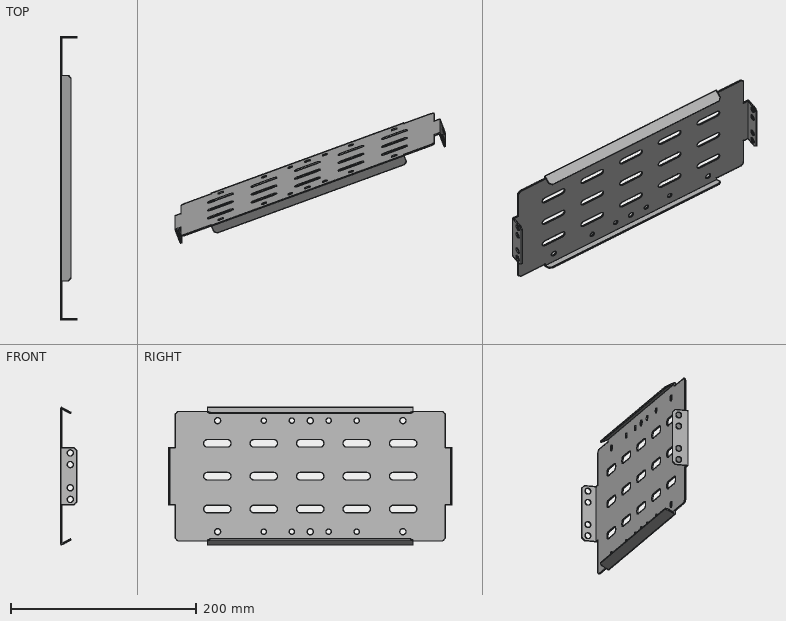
import cadquery as cq
import math

length = 305.5
height = 148.8
depth = 17.5

thickness = 1.5
corner_chamfer = 3.0

plate_length = 291.5
plate_height = 140.0

lip_width = 221.8
lip_depth = 11.3
lip_bend_angle = 118.0

tab_width = 61.7
tab_bend_angle = 90.0
tab_hole_diameter = 6.5
tab_hole_pitch = 12.5
tab_hole_x = 10.5

slot_length = 29.3
slot_width = 8.0
slot_pitch_y = 50.0
slot_pitch_z = 35.5
slot_columns = 5
slot_rows = 3

hole_row_z = 60.0
large_hole_diameter = 6.5
large_hole_spacing = 100.0
small_hole_diameter = 5.5
small_hole_offsets = (20.0, 50.0)


def folded_strip(reach, bend_angle, width, strip_depth):
    """Strip rising from the part centre along +Z to `reach`, then folded towards +X."""
    turn = math.radians(bend_angle)
    along = (math.sin(turn), math.cos(turn))
    outward = (-math.cos(turn), math.sin(turn))
    hinge = (0, reach - thickness * outward[1])

    def from_hinge(along_fold, across_fold):
        return (
            hinge[0] + along_fold * along[0] + across_fold * outward[0],
            hinge[1] + along_fold * along[1] + across_fold * outward[1],
        )

    fold_length = (strip_depth - thickness * outward[0]) / along[0]

    strip = (
        cq.Workplane("XZ")
        .moveTo(0, 0)
        .lineTo(*hinge)
        .lineTo(*from_hinge(0, thickness))
        .lineTo(*from_hinge(fold_length, thickness))
        .lineTo(*from_hinge(fold_length, 0))
        .lineTo(*from_hinge(thickness / along[0], 0))
        .lineTo(thickness, 0)
        .close()
        .extrude(width / 2, both=True)
    )
    across_tip = cq.Vector(outward[0], 0, outward[1])
    tip_corners = strip.edges(cq.selectors.ParallelDirSelector(across_tip)).edges(">X")
    return tip_corners.chamfer(corner_chamfer)


def about_x(body, angle):
    return body.rotate((0, 0, 0), (1, 0, 0), angle)


body = cq.Workplane("YZ").rect(plate_length, plate_height).extrude(thickness)
body = body.edges("|X").chamfer(corner_chamfer)

lip = folded_strip(height / 2, lip_bend_angle, lip_width, lip_depth)
tab = folded_strip(length / 2, tab_bend_angle, tab_width, depth)
for side_angle in (0, 180):
    body = body.union(about_x(lip, side_angle))
    body = body.union(about_x(tab, side_angle + 90))

slots = (
    cq.Workplane("YZ")
    .rarray(slot_pitch_y, slot_pitch_z, slot_columns, slot_rows)
    .slot2D(slot_length, slot_width)
    .extrude(thickness)
)

large_points = []
small_points = []
for z in (-hole_row_z, hole_row_z):
    large_points += [(y, z) for y in (-large_hole_spacing, 0, large_hole_spacing)]
    small_points += [(side * y, z) for side in (-1, 1) for y in small_hole_offsets]
large_holes = cq.Workplane("YZ").pushPoints(large_points).circle(large_hole_diameter / 2).extrude(thickness)
small_holes = cq.Workplane("YZ").pushPoints(small_points).circle(small_hole_diameter / 2).extrude(thickness)

tab_hole_points = [(tab_hole_x, step * tab_hole_pitch) for step in (-2, -1, 1, 2)]
tab_holes = (
    cq.Workplane("XZ")
    .pushPoints(tab_hole_points)
    .circle(tab_hole_diameter / 2)
    .extrude(length, both=True)
)

result = body.cut(slots).cut(large_holes).cut(small_holes).cut(tab_holes)